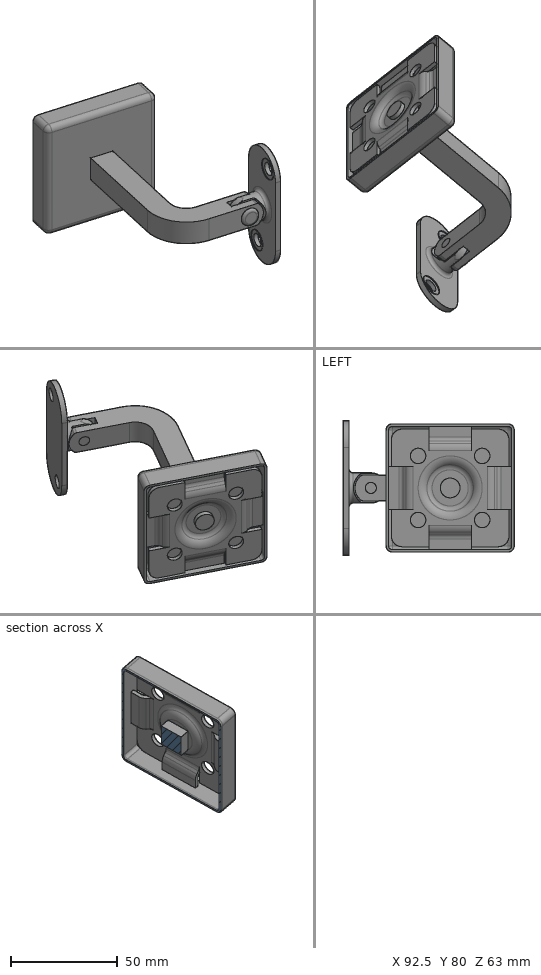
import cadquery as cq
import math

COVER_SIDE = 60.0
COVER_DEPTH = 12.5
COVER_WALL = 1.2
COVER_ROUND = 3.0
CAVITY_SIDE = COVER_SIDE - 2 * COVER_WALL
CAVITY_ROUND = COVER_ROUND - COVER_WALL

SHEET = 2.0
BEND_INSIDE = 3.0
BEND_OUTSIDE = BEND_INSIDE + SHEET
INSERT_SIDE = 55.0
INSERT_CORNER = 5.0
INSERT_HOLE_DIAMETER = 7.2
INSERT_HOLE_SPACING = 30.0
TAB_WIDTH = 20.0
TAB_START = 17.5
TAB_ANGLE = math.radians(40)
TAB_STRAIGHT = 1.7
TAB_COUNT = 4
DISH_RADIUS = 15.0
DISH_ANGLE = math.radians(55)
SPIGOT_DIAMETER = 9.25

BAR = 12.0
SPIGOT_PROUD = 2.2
BEND_RADIUS = 15.0
TIP_RADIUS = 7.4
TIP_BLEND = 1.85

TOTAL_LENGTH = 92.5
PLATE_WIDTH = 25.0
PLATE_HEIGHT = 63.0
PLATE_THICKNESS = 2.8
PLATE_BACK_Y = 50.0
HINGE_TO_WALL = 12.95
PLATE_FRONT_Y = PLATE_BACK_Y - PLATE_THICKNESS
HINGE_X = TOTAL_LENGTH - PLATE_WIDTH / 2
HINGE_Y = PLATE_BACK_Y - HINGE_TO_WALL
SCREW_OFFSET_X = 5.0
SCREW_OFFSET_Z = 22.5
SCREW_HOLE_DIAMETER = 6.5
SCREW_SEAT_DIAMETER = 10.5
SCREW_SEAT_DEPTH = 0.5
BOSS_RADIUS = 7.1
BOSS_FILLET = 1.85
BOSS_CLEARANCE_RADIUS = 8.1
TONGUE = 4.0
SLOT = 4.2
SLOT_RADIUS = 7.6

PIN_DIAMETER = 5.2
PIN_HEAD_DIAMETER = 9.2
PIN_HEAD_HEIGHT = 1.5
PIN_HEAD_ROUND = 1.4


def x_cylinder(radius, x_start, length, y=0.0):
    """Cylinder along X, starting at x_start."""
    return cq.Workplane("YZ", origin=(x_start, y, 0)).circle(radius).extrude(length)


def make_cover():
    outside = (
        cq.Workplane("YZ").rect(COVER_SIDE, COVER_SIDE).extrude(COVER_DEPTH)
        .edges("|X").fillet(COVER_ROUND)
        .faces(">X").edges().fillet(COVER_ROUND)
    )
    cavity = (
        cq.Workplane("YZ").rect(CAVITY_SIDE, CAVITY_SIDE).extrude(COVER_DEPTH - COVER_WALL)
        .edges("|X").fillet(CAVITY_ROUND)
        .faces(">X").edges().fillet(CAVITY_ROUND)
    )
    bar_hole = cq.Workplane("YZ").rect(BAR, BAR).extrude(COVER_DEPTH)
    return outside.cut(cavity).cut(bar_hole)


def step_depth(angle, straight):
    """Depth the sheet steps back through two opposite bends joined by a straight."""
    return (BEND_OUTSIDE + BEND_INSIDE) * (1 - math.cos(angle)) + straight * math.sin(angle)


def bend_point(radius, angle):
    """Distance along the flat sheet and depth behind it, after bending through the angle."""
    return radius * math.sin(angle), radius * (1 - math.cos(angle))


def joggled_sheet(start, direction, angle, straight, end):
    """Closed section of the sheet stepping back in X between two opposite bends.

    The section lies in the XY plane: the sheet leaves y = start towards direction (+1 or -1),
    steps back towards +X and runs flat to y = end.
    """
    run = (BEND_OUTSIDE + BEND_INSIDE) * math.sin(angle) + straight * math.cos(angle)
    drop = step_depth(angle, straight)
    half = angle / 2

    def first_bend(radius, depth, turned):
        along, back = bend_point(radius, turned)
        return (depth + back, start + direction * along)

    def second_bend(radius, depth, turned):
        along, back = bend_point(radius, turned)
        return (drop + depth - back, start + direction * (run - along))

    section = (
        cq.Workplane("XY").moveTo(0, start)
        .threePointArc(first_bend(BEND_OUTSIDE, 0, half), first_bend(BEND_OUTSIDE, 0, angle))
    )
    if straight > 0:
        section = section.lineTo(*second_bend(BEND_INSIDE, 0, angle))
    section = (
        section
        .threePointArc(second_bend(BEND_INSIDE, 0, half), second_bend(BEND_INSIDE, 0, 0))
        .lineTo(drop, end)
        .lineTo(drop + SHEET, end)
        .lineTo(*second_bend(BEND_OUTSIDE, SHEET, 0))
        .threePointArc(second_bend(BEND_OUTSIDE, SHEET, half), second_bend(BEND_OUTSIDE, SHEET, angle))
    )
    if straight > 0:
        section = section.lineTo(*first_bend(BEND_INSIDE, SHEET, angle))
    return (
        section
        .threePointArc(first_bend(BEND_INSIDE, SHEET, half), (SHEET, start))
        .close()
    )


def make_insert():
    insert = (
        cq.Workplane("YZ").rect(INSERT_SIDE, INSERT_SIDE).extrude(SHEET)
        .edges("|X").fillet(INSERT_CORNER)
        .cut(x_cylinder(DISH_RADIUS, 0, SHEET))
    )
    dish = (
        joggled_sheet(DISH_RADIUS, -1, DISH_ANGLE, 0, SPIGOT_DIAMETER / 2)
        .revolve(360, (0, 0, 0), (1, 0, 0))
    )
    insert = insert.union(dish)

    notch_length = CAVITY_SIDE / 2 - TAB_START
    notch = cq.Workplane("XY").box(SHEET, notch_length, TAB_WIDTH, centered=(False, False, True))
    notch = notch.translate((0, TAB_START, 0))
    tab = (
        joggled_sheet(TAB_START, 1, TAB_ANGLE, TAB_STRAIGHT, CAVITY_SIDE / 2)
        .extrude(TAB_WIDTH / 2, both=True)
    )
    for index in range(TAB_COUNT):
        turn = 360 / TAB_COUNT * index
        insert = insert.cut(notch.rotate((0, 0, 0), (1, 0, 0), turn))
        insert = insert.union(tab.rotate((0, 0, 0), (1, 0, 0), turn))

    holes = (
        cq.Workplane("YZ").rect(INSERT_HOLE_SPACING, INSERT_HOLE_SPACING, forConstruction=True)
        .vertices().circle(INSERT_HOLE_DIAMETER / 2).extrude(SHEET)
    )
    return insert.cut(holes)


def make_arm():
    dish_floor_x = step_depth(DISH_ANGLE, 0)
    bar_start_x = dish_floor_x + SHEET
    path = (
        cq.Workplane("XY").moveTo(bar_start_x, 0)
        .lineTo(HINGE_X - BEND_RADIUS, 0)
        .radiusArc((HINGE_X, BEND_RADIUS), -BEND_RADIUS)
        .lineTo(HINGE_X, HINGE_Y)
    )
    bar = cq.Workplane("YZ", origin=(bar_start_x, 0, 0)).rect(BAR, BAR).sweep(path)

    tip_x = HINGE_X - BAR / 2
    tip_disc = x_cylinder(TIP_RADIUS, tip_x, BAR, HINGE_Y)
    tip_block = cq.Workplane("XY").box(BAR, 2 * TIP_RADIUS, BAR).translate((HINGE_X, HINGE_Y, 0))
    tip = (
        tip_disc.intersect(tip_block)
        .edges("|X").edges(">Y").fillet(TIP_BLEND)
    )
    spigot = x_cylinder(SPIGOT_DIAMETER / 2, dish_floor_x - SPIGOT_PROUD, SHEET + SPIGOT_PROUD)
    arm = bar.union(tip).union(spigot)

    slot_x = HINGE_X - SLOT / 2
    slot_bottom_y = HINGE_Y - SLOT_RADIUS
    slot = (
        cq.Workplane("XY").box(SLOT, SLOT_RADIUS + TIP_RADIUS, BAR, centered=(False, False, True))
        .translate((slot_x, slot_bottom_y, 0))
    )
    return arm.cut(slot).cut(x_cylinder(PIN_DIAMETER / 2, tip_x, BAR, HINGE_Y))


def make_wall_plate():
    front = cq.Workplane("XZ", origin=(HINGE_X, PLATE_FRONT_Y, 0))
    plate = front.slot2D(PLATE_HEIGHT, PLATE_WIDTH, 90).extrude(-PLATE_THICKNESS)
    boss_length = PLATE_FRONT_Y - HINGE_Y + BOSS_RADIUS
    plate = plate.union(front.circle(BOSS_RADIUS).extrude(boss_length))
    foot = cq.NearestToPointSelector((HINGE_X, PLATE_FRONT_Y, 0))
    plate = plate.edges(foot).fillet(BOSS_FILLET)

    cheek_width = BOSS_RADIUS - TONGUE / 2
    for side in (-1, 1):
        cheek_x = HINGE_X + side * (TONGUE + cheek_width) / 2 - cheek_width / 2
        plate = plate.cut(x_cylinder(BOSS_CLEARANCE_RADIUS, cheek_x, cheek_width, HINGE_Y))
        corner = (
            cq.Workplane("XY").box(cheek_width, 2 * BOSS_RADIUS, 2 * BOSS_RADIUS)
            .translate((cheek_x + cheek_width / 2, HINGE_Y - BOSS_RADIUS, 0))
        )
        plate = plate.cut(corner)

    end_block = (
        cq.Workplane("XY").box(TONGUE, BOSS_RADIUS, 2 * BOSS_RADIUS)
        .translate((HINGE_X, HINGE_Y - BOSS_RADIUS / 2, 0))
        .cut(x_cylinder(BOSS_RADIUS, HINGE_X - TONGUE / 2, TONGUE, HINGE_Y))
    )
    plate = plate.cut(end_block)
    plate = plate.cut(x_cylinder(PIN_DIAMETER / 2, HINGE_X - TONGUE / 2, TONGUE, HINGE_Y))

    screw_points = [(SCREW_OFFSET_X, SCREW_OFFSET_Z), (-SCREW_OFFSET_X, -SCREW_OFFSET_Z)]
    holes = front.pushPoints(screw_points).circle(SCREW_HOLE_DIAMETER / 2).extrude(-PLATE_THICKNESS)
    seats = front.pushPoints(screw_points).circle(SCREW_SEAT_DIAMETER / 2).extrude(-SCREW_SEAT_DEPTH)
    return plate.cut(holes).cut(seats)


def make_pin():
    arm_left_x = HINGE_X - BAR / 2
    shank = x_cylinder(PIN_DIAMETER / 2, arm_left_x, BAR, HINGE_Y)
    head = (
        x_cylinder(PIN_HEAD_DIAMETER / 2, arm_left_x + BAR, PIN_HEAD_HEIGHT, HINGE_Y)
        .faces(">X").edges().fillet(PIN_HEAD_ROUND)
    )
    return shank.union(head)


cover = make_cover()
insert = make_insert()
arm = make_arm()
wall_plate = make_wall_plate()
pin = make_pin()

result = cq.Compound.makeCompound([
    cover.val(),
    insert.val(),
    arm.val(),
    wall_plate.val(),
    pin.val(),
])